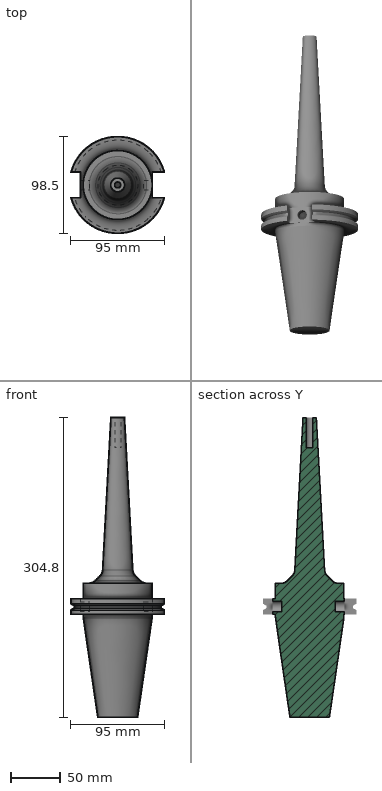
import cadquery as cq
import math

total_height = 304.8
gauge_z = 101.5
flange_bottom_z = 105.0
flange_top_z = 120.7
shoulder_top_z = 136.5

taper_slope = 7 / 48
gauge_radius = 35.0
taper_end_radius = gauge_radius - gauge_z * taper_slope
shoulder_radius = gauge_radius
flange_radius = 98.5 / 2
stem_base_radius = 30.8 / 2
stem_tip_radius = 7.0

root_blend_radius = 9.0
root_cone_rise = 4.5

groove_depth = 3.5
groove_wall_angle = 60
groove_bottom_z = flange_bottom_z + 4.3
groove_top_z = flange_top_z - 5.2

slot_width = 26.0
left_slot_floor = 37.8
right_slot_floor = 35.5
slot_hole_diameter = 9.8
slot_hole_depth = 9.0

bore_diameter = 6.0
bore_depth = 30.5


def make_body():
    """Revolve the taper, flange, shoulder, flared root and stem."""
    groove_radius = flange_radius - groove_depth
    groove_wall_rise = groove_depth / math.tan(math.radians(groove_wall_angle))
    arc_mid_angle = math.radians(22.5)
    arc_side = root_blend_radius * math.sin(math.radians(45))
    arc_sagitta = root_blend_radius - arc_side
    mid_side = root_blend_radius * math.sin(arc_mid_angle)
    mid_sagitta = root_blend_radius * (1 - math.cos(arc_mid_angle))

    root_radius = stem_base_radius + root_blend_radius + root_cone_rise
    root_top_z = shoulder_top_z + root_blend_radius + root_cone_rise
    cone_bottom = (root_radius - arc_side, shoulder_top_z + arc_sagitta)
    cone_top = (stem_base_radius + arc_sagitta, root_top_z - arc_side)
    lower_arc_mid = (root_radius - mid_side, shoulder_top_z + mid_sagitta)
    upper_arc_mid = (stem_base_radius + mid_sagitta, root_top_z - mid_side)

    return (
        cq.Workplane("XZ")
        .moveTo(0, 0)
        .lineTo(taper_end_radius, 0)
        .lineTo(gauge_radius, gauge_z)
        .lineTo(gauge_radius, flange_bottom_z)
        .lineTo(flange_radius, flange_bottom_z)
        .lineTo(flange_radius, groove_bottom_z)
        .lineTo(groove_radius, groove_bottom_z + groove_wall_rise)
        .lineTo(groove_radius, groove_top_z - groove_wall_rise)
        .lineTo(flange_radius, groove_top_z)
        .lineTo(flange_radius, flange_top_z)
        .lineTo(shoulder_radius, flange_top_z)
        .lineTo(shoulder_radius, shoulder_top_z)
        .lineTo(root_radius, shoulder_top_z)
        .threePointArc(lower_arc_mid, cone_bottom)
        .lineTo(*cone_top)
        .threePointArc(upper_arc_mid, (stem_base_radius, root_top_z))
        .lineTo(stem_tip_radius, total_height)
        .lineTo(0, total_height)
        .close()
        .revolve(360, (0, 0), (0, 1))
    )


def make_drive_slot(floor_distance, side):
    """Slot through the flange with its floor hole; side is -1 or +1 along X."""
    flange_height = flange_top_z - flange_bottom_z
    mid_z = (flange_bottom_z + flange_top_z) / 2
    slot_length = flange_radius
    slot = cq.Workplane("XY").box(slot_length, slot_width, flange_height)
    slot = slot.translate((side * (floor_distance + slot_length / 2), 0, mid_z))
    hole = cq.Solid.makeCylinder(
        slot_hole_diameter / 2,
        slot_hole_depth,
        cq.Vector(side * floor_distance, 0, mid_z),
        cq.Vector(-side, 0, 0),
    )
    return slot.union(cq.Workplane(hole))


def make_bore():
    """Blind tool bore, sunk from the stem tip."""
    return (
        cq.Workplane("XY", origin=(0, 0, total_height - bore_depth))
        .circle(bore_diameter / 2)
        .extrude(bore_depth)
    )


result = make_body()
for floor_distance, side in ((left_slot_floor, -1), (right_slot_floor, 1)):
    result = result.cut(make_drive_slot(floor_distance, side))
result = result.cut(make_bore())